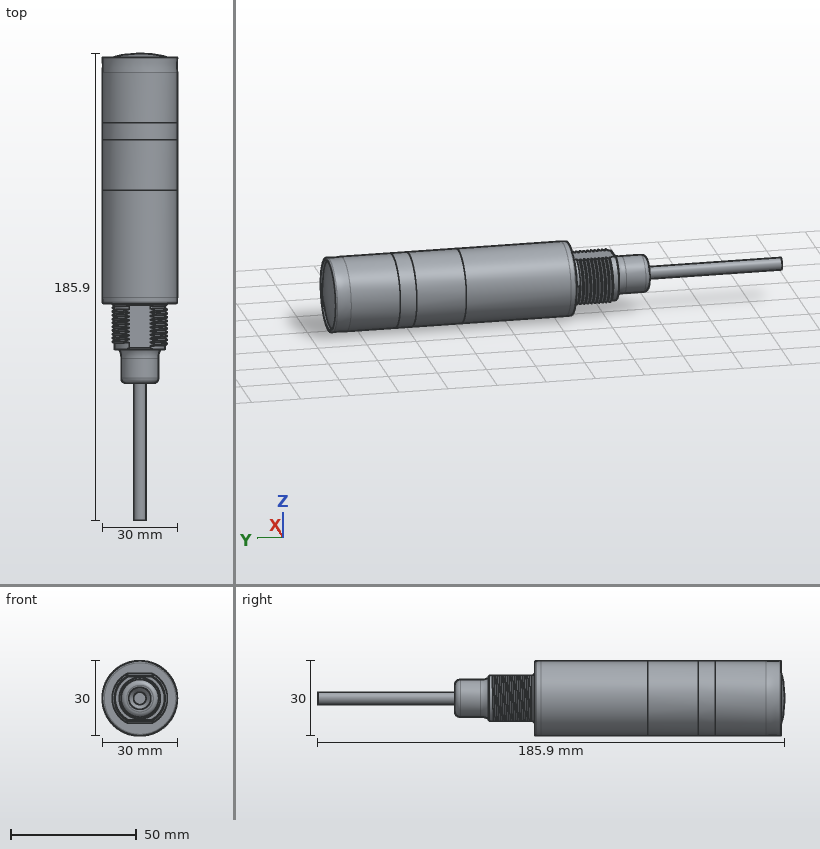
import cadquery as cq
import math


body_radius = 15.0
rear_length = 45.0
sleeve_length = 20.2
band_length = 6.7
cap_length = 26.2
sleeve_y = rear_length
band_y = sleeve_y + sleeve_length
cap_y = band_y + band_length
cap_end_y = cap_y + cap_length

rear_round = 0.7
rear_taper_start = 2.5
rear_taper_depth = 0.05

grip_start_y = cap_y + 20.1
lip_round = 0.5
grip_end_y = cap_end_y - lip_round
grip_depth = 0.15
lip_radius = 14.0
lens_radius = 13.5
lens_seat_depth = 0.8
lens_seat_y = cap_end_y - lens_seat_depth
lens_rise = 1.5

crest_radius = 11.0
root_radius = 10.1
thread_pitch = 1.5
ridge_gap = 0.03
ridge_sink = 0.1
thread_start = 1.7
thread_end = 16.4
collar_length = 0.2
collar_taper = crest_radius - root_radius
connector_length = 18.4
connector_chamfer = 0.3
across_flats = 18.4
flats_bevel = 0.7

gland_radius = 7.5
gland_flare_radius = 8.2
gland_flare_length = 3.3
gland_length = 13.4
gland_round = 2.2
mouth_radius = 4.4
mouth_depth = 3.0

cable_radius = 2.5
cable_free_length = 54.5

connector_end_y = -connector_length
gland_end_y = connector_end_y - gland_length
cable_end_y = gland_end_y - cable_free_length

arc_middle_inset = 1 - math.sqrt(0.5)


def revolve_about_y(profile):
    """Close a (radius, y) profile and turn it a full circle about the Y axis."""
    return profile.close().revolve(360, (0, 0, 0), (0, 1, 0))


def cylinder(radius, y_start, y_end):
    return revolve_about_y(
        cq.Workplane("XY")
        .moveTo(0, y_start)
        .lineTo(radius, y_start)
        .lineTo(radius, y_end)
        .lineTo(0, y_end)
    )


def make_rear_housing():
    tapered_radius = body_radius - rear_taper_depth
    diagonal = rear_round * arc_middle_inset
    return revolve_about_y(
        cq.Workplane("XY")
        .moveTo(0, 0)
        .lineTo(tapered_radius - rear_round, 0)
        .threePointArc((tapered_radius - diagonal, diagonal), (tapered_radius, rear_round))
        .lineTo(body_radius, rear_taper_start)
        .lineTo(body_radius, rear_length)
        .lineTo(0, rear_length)
    )


def make_cap():
    grip_middle_y = (grip_start_y + grip_end_y) / 2
    diagonal = lip_round * arc_middle_inset
    return revolve_about_y(
        cq.Workplane("XY")
        .moveTo(0, cap_y)
        .lineTo(body_radius, cap_y)
        .lineTo(body_radius, grip_start_y)
        .threePointArc((body_radius - grip_depth, grip_middle_y), (body_radius, grip_end_y))
        .threePointArc((body_radius - diagonal, cap_end_y - diagonal), (body_radius - lip_round, cap_end_y))
        .lineTo(lip_radius, cap_end_y)
        .lineTo(lens_radius, lens_seat_y)
        .lineTo(0, lens_seat_y)
    )


def make_lens():
    apex_y = cap_end_y + lens_rise
    sag = apex_y - lens_seat_y
    sphere_radius = (lens_radius**2 + sag**2) / (2 * sag)
    half_radius = lens_radius / 2
    half_y = apex_y - sphere_radius + math.sqrt(sphere_radius**2 - half_radius**2)
    return revolve_about_y(
        cq.Workplane("XY")
        .moveTo(0, lens_seat_y)
        .lineTo(lens_radius, lens_seat_y)
        .threePointArc((half_radius, half_y), (0, apex_y))
    )


def make_thread_ridge():
    """Triangular ridge wound around the connector, sunk a little into the root cylinder."""
    half_base = thread_pitch / 2 - ridge_gap
    helix = cq.Wire.makeHelix(thread_pitch, thread_end - thread_start, root_radius)
    ridge = (
        cq.Workplane("XZ")
        .moveTo(root_radius - ridge_sink, -half_base)
        .lineTo(root_radius, -half_base)
        .lineTo(crest_radius, 0)
        .lineTo(root_radius, half_base)
        .lineTo(root_radius - ridge_sink, half_base)
        .close()
        .sweep(cq.Workplane(obj=helix), isFrenet=True)
    )
    along_minus_y = ridge.rotate((0, 0, 0), (1, 0, 0), 90)
    starting_at_minus_x = along_minus_y.rotate((0, 0, 0), (0, 1, 0), 180)
    return starting_at_minus_x.translate((0, -thread_start, 0))


def make_flats_envelope():
    """Slab whose top and bottom faces are the flats; it flares at the housing and narrows at the gland."""
    half_flat = across_flats / 2
    bevel_y = connector_end_y + flats_bevel
    upper_half = (
        cq.Workplane("YZ")
        .lineTo(0, half_flat + flats_bevel)
        .lineTo(-flats_bevel, half_flat)
        .lineTo(bevel_y, half_flat)
        .lineTo(connector_end_y, half_flat - flats_bevel)
        .lineTo(connector_end_y, 0)
        .close()
        .extrude(body_radius, both=True)
    )
    return upper_half.union(upper_half.mirror("XY"))


def make_connector():
    core = revolve_about_y(
        cq.Workplane("XY")
        .lineTo(crest_radius, 0)
        .lineTo(crest_radius, -collar_length)
        .lineTo(root_radius, -collar_length - collar_taper)
        .lineTo(root_radius, connector_end_y + connector_chamfer)
        .lineTo(root_radius - connector_chamfer, connector_end_y)
        .lineTo(0, connector_end_y)
    )
    return core.union(make_thread_ridge()).intersect(make_flats_envelope()).solids()


def make_gland():
    flare_end_y = connector_end_y - gland_flare_length
    flare_middle_y = connector_end_y - gland_flare_length / 3
    flare_middle_radius = gland_radius + (gland_flare_radius - gland_radius) / 3
    diagonal = gland_round * arc_middle_inset
    return revolve_about_y(
        cq.Workplane("XY")
        .moveTo(cable_radius, connector_end_y)
        .lineTo(gland_flare_radius, connector_end_y)
        .threePointArc((flare_middle_radius, flare_middle_y), (gland_radius, flare_end_y))
        .lineTo(gland_radius, gland_end_y + gland_round)
        .threePointArc(
            (gland_radius - diagonal, gland_end_y + diagonal), (gland_radius - gland_round, gland_end_y)
        )
        .lineTo(mouth_radius, gland_end_y)
        .lineTo(cable_radius, gland_end_y + mouth_depth)
    )


rear_housing = make_rear_housing()
sleeve = cylinder(body_radius, sleeve_y, band_y)
band = cylinder(body_radius, band_y, cap_y)
cap = make_cap()
lens = make_lens()
connector = make_connector()
gland = make_gland()
cable = cylinder(cable_radius, cable_end_y, connector_end_y)

result = cq.Compound.makeCompound(
    [
        rear_housing.val(),
        sleeve.val(),
        band.val(),
        cap.val(),
        lens.val(),
        connector.val(),
        gland.val(),
        cable.val(),
    ]
)